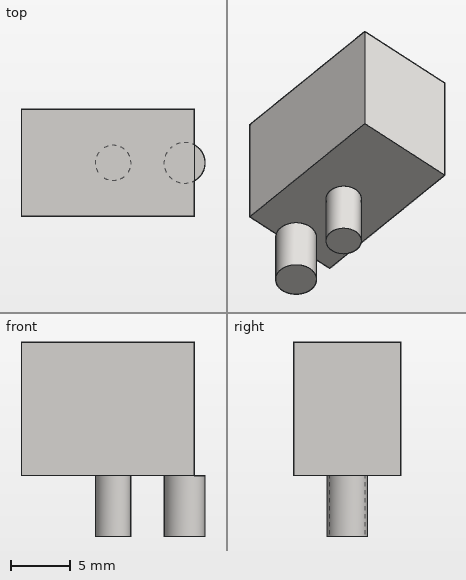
import cadquery as cq

housing_length = 14.5
housing_width = 9.0
housing_height = 11.2

total_height = 16.3
pin_length = total_height - housing_height
thin_pin_diameter = 2.97
thick_pin_diameter = 3.44
pin_spacing = 6.0
thick_pin_overhang = 0.91

thick_pin_x = housing_length / 2 + thick_pin_overhang - thick_pin_diameter / 2
thin_pin_x = thick_pin_x - pin_spacing


def make_housing():
    """Plain block standing on the plane Z = 0."""
    return cq.Workplane("XY").box(
        housing_length, housing_width, housing_height, centered=(True, True, False)
    )


def make_pin(diameter, x):
    """Round pin hanging from the underside of the housing."""
    return cq.Workplane("XY").center(x, 0).circle(diameter / 2).extrude(-pin_length)


housing = make_housing()
thin_pin = make_pin(thin_pin_diameter, thin_pin_x)
thick_pin = make_pin(thick_pin_diameter, thick_pin_x)

result = cq.Compound.makeCompound([housing.val(), thin_pin.val(), thick_pin.val()])